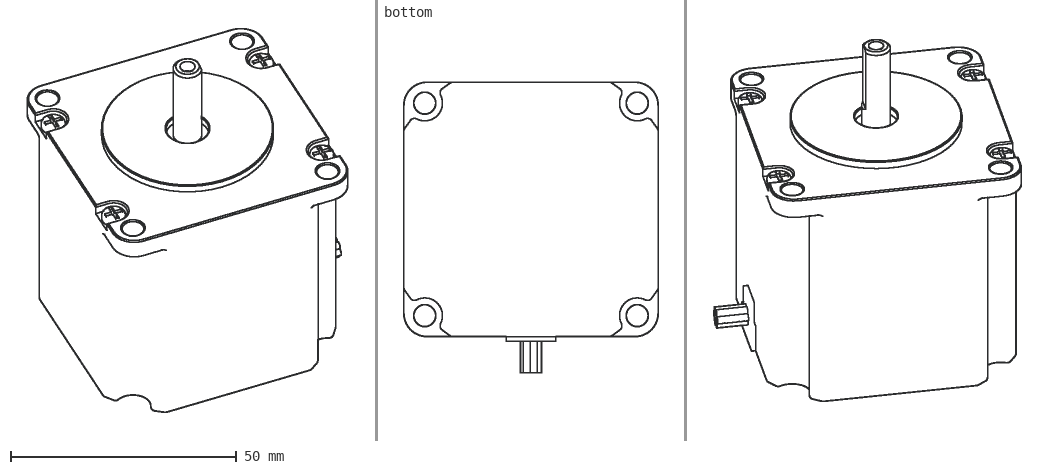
import cadquery as cq
import math


cutter_overrun = 3.7

housing_width = 56.4
half_width = housing_width / 2
housing_height = 53.8
housing_corner_radius = 5.2
housing_top_chamfer = 0.3
base_edge_radius = 1.0

flange_underside = 49.2
relief_ceiling_radius = 0.6
relief_start = 17.6
relief_slope = 35.5
relief_radius = 3.9
relief_lip_radius = 1.1
relief_entry_radius = 0.75

mount_hole_offset = 23.5
mount_hole_diameter = 4.8
mount_hole_chamfer = 0.3
mount_hole_mouth_angle = 90

pilot_diameter = 38.1
pilot_top = 55.65
pilot_chamfer = 0.2
bore_diameter = 9.5
bore_chamfer = 0.2
bore_depth = 1.85
shaft_diameter = 6.4
shaft_top = 74.0
shaft_chamfer = 0.6
flat_bottom = 58.75
flat_offset = 2.7
center_mouth_diameter = 3.3
center_drill_diameter = 1.25
center_cone_angle = 60
center_drill_depth = 2.95
drill_tip_angle = 118

screw_offset_x = 16.65
screw_offset_y = 25.15
pocket_width = 6.1
pocket_floor = 51.6
pocket_chamfer = 0.4
head_diameter = 5.3
head_top = 53.3
head_crown_diameter = 3.85
head_rim_height = 0.75
head_root = 0.75
cross_length = 4.0
cross_width = 0.8
cross_depth = 0.75

outlet_bottom = 1.0
outlet_shoulder = 7.4
outlet_top = 12.6
outlet_wide_width = 11.0
outlet_narrow_width = 7.7
outlet_thickness = 1.0
outlet_edge_radius = 0.2
lead_end = 36.2
lead_bundle_height = 7.4
lead_diameter = 1.6
lead_spacing = 1.55
lead_bundle_turn = -7
outer_lead_count = 6


def four_corners(offset_x, offset_y):
    return [(sx * offset_x, sy * offset_y) for sx in (-1, 1) for sy in (-1, 1)]


def make_housing():
    block = cq.Workplane("XY").rect(housing_width, housing_width).extrude(housing_height)
    block = block.edges("|Z").fillet(housing_corner_radius)
    return block.faces(">Z").chamfer(housing_top_chamfer)


def make_relief():
    """Cutter for the +X +Y corner: a groove with a sloped lip on each side."""
    slope = math.radians(relief_slope)
    along = (math.cos(slope), -math.sin(slope))
    to_start = (relief_start - mount_hole_offset, half_width - mount_hole_offset)
    projection = to_start[0] * along[0] + to_start[1] * along[1]
    gap = to_start[0] ** 2 + to_start[1] ** 2 - relief_radius ** 2
    lip_length = -projection - math.sqrt(projection ** 2 - gap)
    lip_end = (relief_start + lip_length * along[0], half_width + lip_length * along[1])
    outside = half_width + cutter_overrun
    entry = (relief_start, half_width)
    side_start = (relief_start - cutter_overrun, half_width)
    outer_start = (relief_start - cutter_overrun, outside)
    groove_bottom = mount_hole_offset - relief_radius / math.sqrt(2)
    cutter = (
        cq.Workplane("XY", origin=(0, 0, -cutter_overrun))
        .moveTo(*outer_start)
        .lineTo(*side_start)
        .lineTo(*entry)
        .lineTo(*lip_end)
        .threePointArc((groove_bottom, groove_bottom), lip_end[::-1])
        .lineTo(*entry[::-1])
        .lineTo(*side_start[::-1])
        .lineTo(*outer_start[::-1])
        .lineTo(outside, outside)
        .close()
        .extrude(flange_underside + cutter_overrun)
    )
    for corner, radius in ((lip_end, relief_lip_radius), (entry, relief_entry_radius)):
        for x, y in (corner, corner[::-1]):
            picker = cq.selectors.NearestToPointSelector((x, y, flange_underside / 2))
            cutter = cutter.edges("|Z").edges(picker).fillet(radius)
    return cutter.faces(">Z").edges().fillet(relief_ceiling_radius)


def cut_reliefs(body):
    relief = make_relief()
    for quarter in range(4):
        body = body.cut(relief.rotate((0, 0, 0), (0, 0, 1), 90 * quarter))
    return body.faces("<Z").edges().fillet(base_edge_radius)


def cut_mounting_holes(body):
    mouth = mount_hole_diameter + 2 * mount_hole_chamfer
    return (
        body.faces(">Z").workplane(origin=(0, 0, 0))
        .pushPoints(four_corners(mount_hole_offset, mount_hole_offset))
        .cskHole(mount_hole_diameter, mouth, mount_hole_mouth_angle)
    )


def make_pilot():
    pilot = (
        cq.Workplane("XY", origin=(0, 0, flange_underside))
        .circle(pilot_diameter / 2)
        .extrude(pilot_top - flange_underside)
    )
    return pilot.faces(">Z").chamfer(pilot_chamfer)


def cut_bore(body):
    bore = (
        cq.Workplane("XY", origin=(0, 0, pilot_top - bore_depth))
        .circle(bore_diameter / 2)
        .extrude(bore_depth)
    )
    mouth = cq.Workplane("XY").add(cq.Solid.makeCone(
        bore_diameter / 2, bore_diameter / 2 + bore_chamfer, bore_chamfer,
        pnt=(0, 0, pilot_top - bore_chamfer),
    ))
    return body.cut(bore).cut(mouth)


def make_shaft():
    shaft = (
        cq.Workplane("XY", origin=(0, 0, flange_underside))
        .circle(shaft_diameter / 2)
        .extrude(shaft_top - flange_underside)
        .faces(">Z").chamfer(shaft_chamfer)
    )
    runout = shaft_diameter / 2
    flat = (
        cq.Workplane("YZ", origin=(-shaft_diameter / 2, 0, 0))
        .moveTo(flat_offset, shaft_top)
        .lineTo(flat_offset, flat_bottom)
        .lineTo(flat_offset + runout, flat_bottom - runout)
        .lineTo(flat_offset + runout, shaft_top)
        .close()
        .extrude(shaft_diameter)
    )
    mouth_radius = center_mouth_diameter / 2
    drill_radius = center_drill_diameter / 2
    cone_depth = (mouth_radius - drill_radius) / math.tan(math.radians(center_cone_angle / 2))
    tip_depth = drill_radius / math.tan(math.radians(drill_tip_angle / 2))
    center_hole = (
        cq.Workplane("XZ")
        .moveTo(0, shaft_top)
        .lineTo(mouth_radius, shaft_top)
        .lineTo(drill_radius, shaft_top - cone_depth)
        .lineTo(drill_radius, shaft_top - center_drill_depth)
        .lineTo(0, shaft_top - center_drill_depth - tip_depth)
        .close()
        .revolve(360, (0, 0, 0), (0, 1, 0))
    )
    return shaft.cut(flat).cut(center_hole)


def make_pocket():
    """Cutter for one screw pocket, centred on the screw and open towards +Y."""
    reach = half_width - screw_offset_y + cutter_overrun
    depth = housing_height - pocket_floor
    floor = cq.Workplane("XY", origin=(0, 0, pocket_floor))
    round_end = floor.circle(pocket_width / 2).extrude(depth)
    straight_end = floor.center(0, reach / 2).rect(pocket_width, reach).extrude(depth)
    cone = cq.Workplane("XY").add(cq.Solid.makeCone(
        pocket_width / 2, pocket_width / 2 + pocket_chamfer, pocket_chamfer,
        pnt=(0, 0, housing_height - pocket_chamfer),
    ))
    bevel = (
        cq.Workplane("XZ", origin=(0, 0, housing_height))
        .moveTo(-pocket_width / 2, -pocket_chamfer)
        .lineTo(pocket_width / 2, -pocket_chamfer)
        .lineTo(pocket_width / 2 + pocket_chamfer, 0)
        .lineTo(-pocket_width / 2 - pocket_chamfer, 0)
        .close()
        .extrude(-reach)
    )
    return round_end.union(straight_end).union(cone).union(bevel)


def make_screw_head():
    rim_top = pocket_floor + head_rim_height
    crown_rise = head_top - rim_top
    head_radius = head_diameter / 2
    crown_radius = head_crown_diameter / 2
    bulge = math.sin(math.radians(45))
    shoulder = (
        crown_radius + (head_radius - crown_radius) * bulge,
        rim_top + crown_rise * bulge,
    )
    head = (
        cq.Workplane("XZ")
        .moveTo(0, pocket_floor - head_root)
        .lineTo(head_radius, pocket_floor - head_root)
        .lineTo(head_radius, rim_top)
        .threePointArc(shoulder, (crown_radius, head_top))
        .lineTo(0, head_top)
        .close()
        .revolve(360, (0, 0, 0), (0, 1, 0))
    )
    cross = cq.Workplane("XY", origin=(0, 0, head_top - cross_depth))
    head = head.cut(cross.rect(cross_length, cross_width).extrude(cross_depth))
    return head.cut(cross.rect(cross_width, cross_length).extrude(cross_depth))


def add_screws(body):
    pocket = make_pocket()
    head = make_screw_head()
    for x, y in four_corners(screw_offset_x, screw_offset_y):
        turn = 0 if y > 0 else 180
        body = body.cut(pocket.rotate((0, 0, 0), (0, 0, 1), turn).translate((x, y, 0)))
        body = body.union(head.translate((x, y, 0)))
    return body


def make_lead_outlet():
    wide = outlet_wide_width / 2
    narrow = outlet_narrow_width / 2
    plate = (
        cq.Workplane("XZ", origin=(0, half_width, 0))
        .moveTo(-wide, outlet_bottom)
        .lineTo(wide, outlet_bottom)
        .lineTo(wide, outlet_shoulder)
        .lineTo(narrow, outlet_shoulder)
        .lineTo(narrow, outlet_top)
        .lineTo(-narrow, outlet_top)
        .lineTo(-narrow, outlet_shoulder)
        .lineTo(-wide, outlet_shoulder)
        .close()
        .extrude(-outlet_thickness)
        .edges("|Y").fillet(outlet_edge_radius)
        .faces(">Y").edges().fillet(outlet_edge_radius)
    )
    step = 360 / outer_lead_count
    angles = [math.radians(lead_bundle_turn + step * i) for i in range(outer_lead_count)]
    centers = [(0, 0)] + [(lead_spacing * math.cos(a), lead_spacing * math.sin(a)) for a in angles]
    for x, z in centers:
        lead = (
            cq.Workplane("XZ", origin=(x, half_width, lead_bundle_height + z))
            .circle(lead_diameter / 2)
            .extrude(half_width - lead_end)
        )
        plate = plate.union(lead)
    return plate


body = cut_reliefs(make_housing())
body = cut_mounting_holes(body)
body = add_screws(body)
body = cut_bore(body.union(make_pilot()))
body = body.union(make_shaft())
result = body.union(make_lead_outlet())